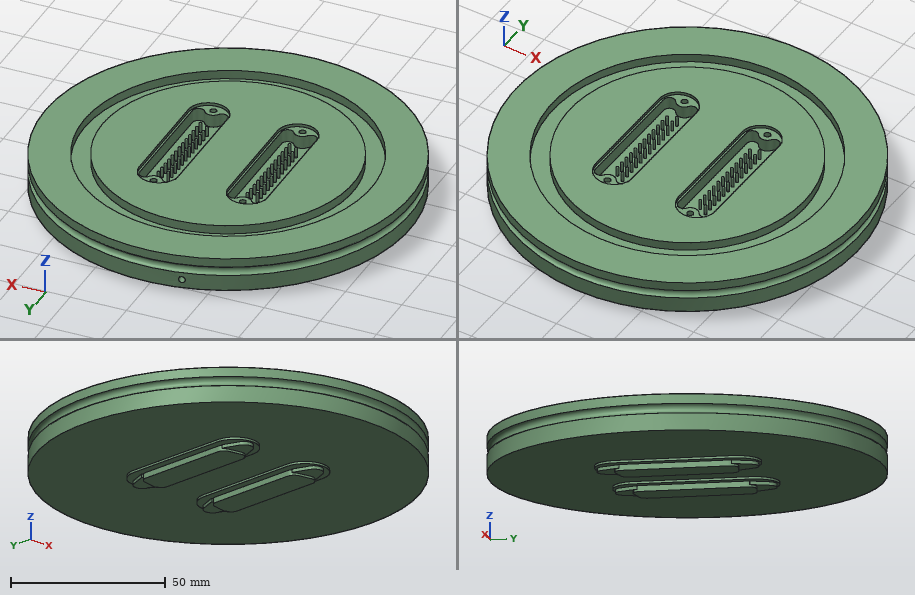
import cadquery as cq
import math

disc_radius = 65.0
disc_height = 12.1
top_face = disc_height

rim_groove_radius = 1.5
rim_groove_z = 7.3
rim_groove_depth = 1.4

channel_outer_radius = 51.1
channel_inner_radius = 44.6
channel_depth = 3.1

port_diameter = 2.2
port_z = 3.1
port_angle = 11.0
port_depth = 3.9

connector_x = 15.9
screw_y = 23.5
screw_hole_diameter = 2.2

recess_width = 14.0
recess_length = 52.8
recess_depth = 1.0
recess_floor = top_face - recess_depth

cavity_half_width = 6.2
cavity_depth = 4.5
cavity_floor = recess_floor - cavity_depth
lobe_radius = 2.1
screw_wall_radius = 2.9

pin_diameter = 0.94
pin_height = 3.6
pin_pitch = 2.76
pin_row_x = 1.4
long_row_count = 13
short_row_count = 12

mount_width = 16.0
mount_length = 54.9
mount_thickness = 0.8
lug_nose_radius = 3.1
lug_half_width = 5.2
lug_inner_y = 18.6
lug_bottom = -2.0
shell_half_width = 5.2
shell_half_length = 20.4
shell_end_angle = 10.0
shell_corner_radius = 2.9
shell_bottom = -2.7


def oblong(x, z, width, length, height):
    """Prism with round ends, long in Y, rising from z."""
    return cq.Workplane("XY", origin=(x, 0, z)).slot2D(length, width, 90).extrude(height)


def flange_disc():
    disc = cq.Workplane("XY").circle(disc_radius).extrude(disc_height)
    center_radius = disc_radius - rim_groove_depth + rim_groove_radius
    groove = (
        cq.Workplane("XZ")
        .center(center_radius, rim_groove_z)
        .circle(rim_groove_radius)
        .revolve(360, (-center_radius, 0), (-center_radius, 1))
    )
    channel = (
        cq.Workplane("XY", origin=(0, 0, top_face - channel_depth))
        .circle(channel_outer_radius)
        .circle(channel_inner_radius)
        .extrude(channel_depth)
    )
    return disc.cut(groove).cut(channel)


def test_port():
    angle = math.radians(port_angle)
    outward = cq.Vector(-math.sin(angle), math.cos(angle), 0)
    start = outward * (disc_radius - port_depth) + cq.Vector(0, 0, port_z)
    return cq.Workplane(cq.Solid.makeCylinder(port_diameter / 2, 2 * port_depth, start, outward))


def pin_cavity(x):
    """Each corner lobe runs tangent into the concentric wall around the screw hole."""
    lobe_x = cavity_half_width - lobe_radius
    center_distance = lobe_radius + screw_wall_radius
    lobe_y = screw_y - math.sqrt(center_distance**2 - lobe_x**2)
    lobe_top = lobe_y + lobe_radius
    wall_y = screw_y - screw_wall_radius
    blend = lobe_radius / center_distance
    blend_x = lobe_x * (1 - blend)
    blend_y = lobe_y + (screw_y - lobe_y) * blend
    return (
        cq.Workplane("XY", origin=(x, 0, cavity_floor))
        .moveTo(-cavity_half_width, -lobe_y)
        .lineTo(-cavity_half_width, lobe_y)
        .threePointArc((-lobe_x, lobe_top), (-blend_x, blend_y))
        .threePointArc((0, wall_y), (blend_x, blend_y))
        .threePointArc((lobe_x, lobe_top), (cavity_half_width, lobe_y))
        .lineTo(cavity_half_width, -lobe_y)
        .threePointArc((lobe_x, -lobe_top), (blend_x, -blend_y))
        .threePointArc((0, -wall_y), (-blend_x, -blend_y))
        .threePointArc((-lobe_x, -lobe_top), (-cavity_half_width, -lobe_y))
        .close()
        .extrude(cavity_depth)
    )


def connector_opening(x):
    recess = oblong(x, recess_floor, recess_width, recess_length, recess_depth)
    return recess.union(pin_cavity(x))


def pin_row(x, count):
    """Row of pins with round tips."""
    pin_radius = pin_diameter / 2
    rows = cq.Workplane("XY", origin=(x, 0, cavity_floor)).rarray(1.3, pin_pitch, 1, count)
    shanks = rows.circle(pin_radius).extrude(pin_height - pin_radius)
    tips = (
        cq.Workplane("XY", origin=(x, 0, cavity_floor + pin_height - pin_radius))
        .rarray(1.3, pin_pitch, 1, count)
        .sphere(pin_radius)
    )
    return shanks.union(tips)


def screw_lug(x, side):
    """Lug with a round nose about the screw hole, widening along tangents toward the shell."""
    reach = screw_y - lug_inner_y
    corner_distance = math.hypot(lug_half_width, reach)
    tangent_angle = math.acos(lug_nose_radius / corner_distance) - math.atan2(reach, lug_half_width)
    tangent_x = lug_nose_radius * math.cos(tangent_angle)
    tangent_y = screw_y + lug_nose_radius * math.sin(tangent_angle)
    return (
        cq.Workplane("XY", origin=(x, 0, lug_bottom))
        .moveTo(-lug_half_width, side * lug_inner_y)
        .lineTo(-tangent_x, side * tangent_y)
        .threePointArc((0, side * (screw_y + lug_nose_radius)), (tangent_x, side * tangent_y))
        .lineTo(lug_half_width, side * lug_inner_y)
        .close()
        .extrude(-lug_bottom)
    )


def plug_shell(x):
    """D-shaped shell, longer on its +X side."""
    slope = math.tan(math.radians(shell_end_angle))
    rounding_center_x = shell_half_width - shell_corner_radius
    rounding_center_y = shell_half_length - shell_corner_radius
    end_offset = shell_corner_radius / math.cos(math.radians(shell_end_angle))
    long_y = rounding_center_y + end_offset + slope * (shell_half_width - rounding_center_x)
    short_y = long_y - slope * 2 * shell_half_width
    return (
        cq.Workplane("XY", origin=(x, 0, shell_bottom))
        .polyline(
            [
                (shell_half_width, -long_y),
                (shell_half_width, long_y),
                (-shell_half_width, short_y),
                (-shell_half_width, -short_y),
            ]
        )
        .close()
        .extrude(-shell_bottom)
        .edges("|Z")
        .fillet(shell_corner_radius)
    )


def screw_hole(x, side):
    """Blind hole from the recess floor, as deep as the pin cavity."""
    hole = cq.Workplane("XY", origin=(x, side * screw_y, cavity_floor))
    return hole.circle(screw_hole_diameter / 2).extrude(cavity_depth)


result = flange_disc().cut(test_port())
for x in (-connector_x, connector_x):
    result = result.union(oblong(x, -mount_thickness, mount_width, mount_length, mount_thickness))
    result = result.union(plug_shell(x))
    result = result.cut(connector_opening(x))
    result = result.union(pin_row(x + pin_row_x, long_row_count))
    result = result.union(pin_row(x - pin_row_x, short_row_count))
    for side in (-1, 1):
        result = result.union(screw_lug(x, side))
        result = result.cut(screw_hole(x, side))